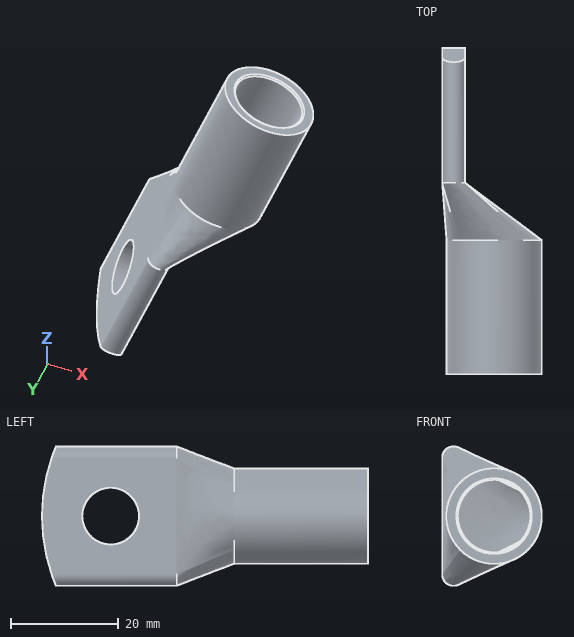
import cadquery as cq
import math

total_length = 60.8
total_width = 18.6
barrel_diameter = 17.8
bore_diameter = 13.5
barrel_length = 25.0
neck_length = 10.7
mouth_chamfer = 0.3
palm_height = 26.0
palm_thickness = barrel_diameter - bore_diameter
palm_tip_radius = 33.3
stud_hole_diameter = 10.5
stud_hole_to_tip = 12.8
seam_gap = 0.05
corner_rise = 45

barrel_radius = barrel_diameter / 2
palm_center_x = barrel_radius - total_width + palm_thickness / 2
palm_start = barrel_length + neck_length
seam_height = palm_height - palm_thickness


def ring(center_x, y, radius, half_straight):
    """Closed outline in four pieces: two end arcs and two sides.

    With half_straight above zero the sides are straight, giving a slot;
    with zero they are arcs, giving a circle.
    """
    corner_angle = math.radians(0 if half_straight > 0 else corner_rise)
    corner_x = radius * math.cos(corner_angle)
    corner_z = half_straight + radius * math.sin(corner_angle)
    end_z = half_straight + radius

    def point(x, z):
        return cq.Vector(center_x + x, y, z)

    upper_right = point(corner_x, corner_z)
    upper_left = point(-corner_x, corner_z)
    lower_left = point(-corner_x, -corner_z)
    lower_right = point(corner_x, -corner_z)

    def side(start, middle_x, end):
        if half_straight > 0:
            return cq.Edge.makeLine(start, end)
        return cq.Edge.makeThreePointArc(start, point(middle_x, 0), end)

    edges = [
        cq.Edge.makeThreePointArc(upper_right, point(0, end_z), upper_left),
        side(upper_left, -radius, lower_left),
        cq.Edge.makeThreePointArc(lower_left, point(0, -end_z), lower_right),
        side(lower_right, radius, upper_right),
    ]
    return cq.Wire.assembleEdges(edges)


def neck(round_diameter, flat_height, flat_thickness):
    """Straight-ruled transition from a round section to a flat slot section."""
    round_end = ring(0, barrel_length, round_diameter / 2, 0)
    flat_radius = flat_thickness / 2
    flat_end = ring(palm_center_x, palm_start, flat_radius, flat_height / 2 - flat_radius)
    return cq.Workplane(obj=cq.Solid.makeLoft([round_end, flat_end], True))


def rod(diameter):
    """Cylinder along the barrel, from the mouth to the neck."""
    return cq.Workplane("XZ").circle(diameter / 2).extrude(-barrel_length)


def palm():
    """Flat tongue with fully rounded long edges, an arched tip and a stud hole."""
    blank = (
        cq.Workplane("XZ", origin=(palm_center_x, palm_start, 0))
        .slot2D(palm_height, palm_thickness, 90)
        .extrude(palm_start - total_length)
    )
    across = cq.Workplane("YZ", origin=(palm_center_x, 0, 0))
    tip_disc = (
        across.center(total_length - palm_tip_radius, 0)
        .circle(palm_tip_radius)
        .extrude(palm_thickness, both=True)
    )
    stud_hole = (
        across.center(total_length - stud_hole_to_tip, 0)
        .circle(stud_hole_diameter / 2)
        .extrude(palm_thickness, both=True)
    )
    return blank.intersect(tip_disc).cut(stud_hole)


def cavity():
    """Bore that narrows through the neck to the closed seam."""
    return rod(bore_diameter).union(neck(bore_diameter, seam_height, seam_gap))


def mouth_bevel():
    """Cone that breaks the inner edge of the barrel mouth."""
    bore_radius = bore_diameter / 2
    cone = cq.Solid.makeCone(
        bore_radius + mouth_chamfer, bore_radius, mouth_chamfer, cq.Vector(0, 0, 0), cq.Vector(0, 1, 0)
    )
    return cq.Workplane(obj=cone)


outside = rod(barrel_diameter).union(neck(barrel_diameter, palm_height, palm_thickness)).union(palm())
result = outside.cut(cavity()).cut(mouth_bevel())